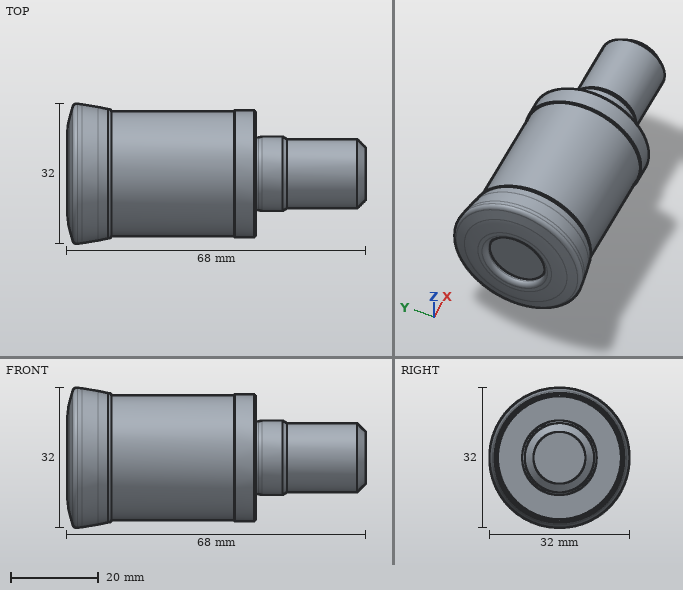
import cadquery as cq
import math

total_length = 68.0

cap_radius = 31.95 / 2
cap_length = 10.05
rear_face_radius = 14.35
cap_peak_x = 2.4
front_flat_radius = 9.2
dome_radius = 12.8
dome_x = 0.55
front_edge_radius = 15.15
front_edge_x = 1.2
rim_end_x = 3.4
rim_end_radius = 15.85
flare_mid_x = 7.1
flare_mid_radius = 15.2
flare_end_x = 9.3
flare_end_radius = 14.75

recess_radius = 7.0
recess_mouth_radius = 8.15
recess_depth = 1.8

sleeve_radius = 28.5 / 2
sleeve_end = 37.95
collar_radius = 29.0 / 2
collar_front_chamfer = collar_radius - sleeve_radius
collar_end = 43.0
collar_rear_chamfer = 0.5
neck_radius = 8.3
neck_end = 43.5
shoulder_radius = 17.0 / 2
shoulder_start = 44.35
shoulder_end = 49.0
stud_radius = 15.8 / 2
stud_start = 50.05
stud_chamfer = 2.0


def revolve_about_x(profile):
    """Turn a closed (x, radius) profile about the X axis."""
    return profile.revolve(360, (0, 0, 0), (1, 0, 0))


def rounded_corner_middle(start, end):
    """Middle of the quarter round that leaves start along the radius and reaches end along X."""
    diagonal = math.sqrt(0.5)
    return (
        end[0] + (start[0] - end[0]) * diagonal,
        start[1] + (end[1] - start[1]) * diagonal,
    )


def make_cap():
    recess_round = recess_mouth_radius - recess_radius
    mouth = (0, recess_mouth_radius)
    recess_edge = (recess_round, recess_radius)
    mouth_middle = (
        recess_round * (1 - math.sqrt(0.5)),
        recess_mouth_radius - recess_round * math.sqrt(0.5),
    )
    front_edge = (front_edge_x, front_edge_radius)
    cap_peak = (cap_peak_x, cap_radius)
    flare_end = (flare_end_x, flare_end_radius)
    cap_end = (cap_length, rear_face_radius)
    rear_middle = rounded_corner_middle(cap_end, flare_end)
    profile = (
        cq.Workplane("XY")
        .moveTo(recess_depth, 0)
        .lineTo(recess_depth, recess_radius)
        .lineTo(*recess_edge)
        .threePointArc(mouth_middle, mouth)
        .lineTo(0, front_flat_radius)
        .tangentArcPoint((dome_x, dome_radius), relative=False)
        .lineTo(*front_edge)
        .threePointArc(rounded_corner_middle(front_edge, cap_peak), cap_peak)
        .tangentArcPoint((rim_end_x, rim_end_radius), relative=False)
        .lineTo(flare_mid_x, flare_mid_radius)
        .lineTo(*flare_end)
        .threePointArc(rear_middle, cap_end)
        .lineTo(cap_length, 0)
        .close()
    )
    return revolve_about_x(profile)


def make_body():
    profile = (
        cq.Workplane("XY")
        .moveTo(cap_length, 0)
        .lineTo(cap_length, sleeve_radius)
        .lineTo(sleeve_end, sleeve_radius)
        .lineTo(sleeve_end + collar_front_chamfer, collar_radius)
        .lineTo(collar_end - collar_rear_chamfer, collar_radius)
        .lineTo(collar_end, collar_radius - collar_rear_chamfer)
        .lineTo(collar_end, neck_radius)
        .lineTo(neck_end, neck_radius)
        .lineTo(shoulder_start, shoulder_radius)
        .lineTo(shoulder_end, shoulder_radius)
        .lineTo(stud_start, stud_radius)
        .lineTo(total_length - stud_chamfer, stud_radius)
        .lineTo(total_length, stud_radius - stud_chamfer)
        .lineTo(total_length, 0)
        .close()
    )
    return revolve_about_x(profile)


cap = make_cap()
body = make_body()

result = cq.Compound.makeCompound([cap.val(), body.val()])